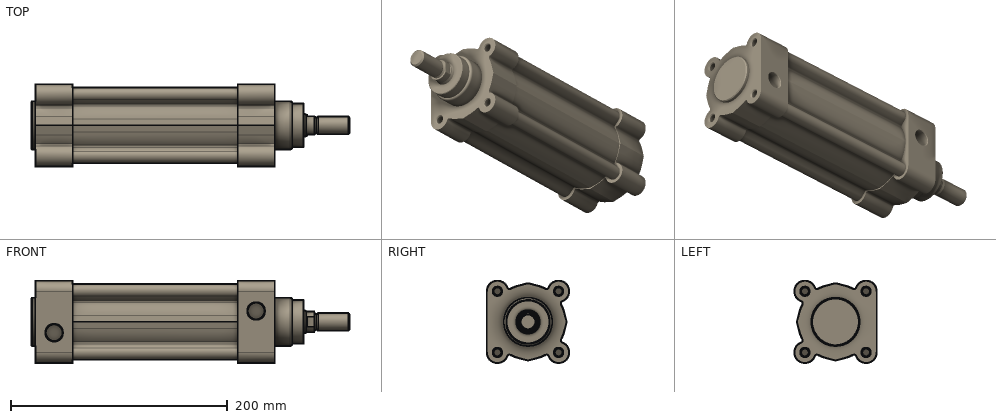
import cadquery as cq
import math


total_length = 294.0
rear_face = 3.8
front_face = 225.0
cover_length = 34.5
neck_end = 241.0
collar_end = 251.7
barrel_start = rear_face + cover_length
barrel_end = front_face - cover_length

cover_side = 76.0
cover_half_side = cover_side / 2
bolt_offset = 28.2
boss_radius = cover_half_side - bolt_offset
cover_round_radius = 34.7
cover_ridge_half_width = 8.5
cover_notch_fillet = 1.8

bolt_hole_radius = 3.5
bolt_hole_depth = 17.5
bolt_hole_chamfer = 1.0

port_radius = 7.5
port_depth = 14.7
port_chamfer = 0.5
port_inset = 17.3
port_height = 10.0

spigot_radius = 22.3
spigot_chamfer = 1.0
neck_radius = 22.3
neck_fillet = 2.4
collar_radius = 20.3
collar_chamfer = 0.5

barrel_round_radius = 34.0
barrel_ridge_half_width = 6.0
rail_offset = 28.5
rail_radius = 6.5
barrel_notch_fillet = 1.8

flare_radius = 11.0
flare_length = 2.4
shank_radius = 9.7
shank_end = 261.5
flat_start = 254.5
flat_offset = 8.5
groove_edge_radius = 8.2
groove_radius = 7.0
groove_bottom = 263.0
thread_start = 265.0
thread_radius = 8.2
tip_chamfer = 1.5

corner_signs = [(y_sign, z_sign) for y_sign in (-1, 1) for z_sign in (-1, 1)]


def section_at(x):
    """Workplane across the axis, with local x along Y and local y along Z."""
    return cq.Workplane("YZ").workplane(offset=x)


def cylinder(radius, start, end):
    return section_at(start).circle(radius).extrude(end - start)


def corner_points(offset):
    return [(y_sign * offset, z_sign * offset) for y_sign, z_sign in corner_signs]


def ridged_round(radius, ridge_half_width, start, end):
    """Round bar with a low ridge on each of four sides, where two tangents of the circle meet."""
    tangent_height = math.sqrt(radius**2 - ridge_half_width**2)
    ridge_height = radius**2 / tangent_height
    ridge = (
        section_at(start)
        .moveTo(0, 0)
        .lineTo(ridge_half_width, tangent_height)
        .lineTo(0, ridge_height)
        .lineTo(-ridge_half_width, tangent_height)
        .close()
        .extrude(end - start)
    )
    body = cylinder(radius, start, end)
    for quarter in range(4):
        body = body.union(ridge.rotate((0, 0, 0), (1, 0, 0), 90 * quarter))
    return body


def notch_points(radius, angle_from_diagonal):
    """Points on the round, on both sides of each diagonal, where the corner shapes leave it."""
    points = []
    for corner in range(4):
        diagonal = math.radians(45 + 90 * corner)
        for angle in (diagonal - angle_from_diagonal, diagonal + angle_from_diagonal):
            points.append((radius * math.cos(angle), radius * math.sin(angle)))
    return points


def fillet_notches(body, points, x, fillet_radius):
    for y, z in points:
        nearest = cq.selectors.NearestToPointSelector((x, y, z))
        body = body.edges("|X").edges(nearest).fillet(fillet_radius)
    return body


def make_cover_block(start):
    """Cover without holes, shared by both ends."""
    end = start + cover_length
    block = ridged_round(cover_round_radius, cover_ridge_half_width, start, end)
    bosses = section_at(start).pushPoints(corner_points(bolt_offset)).circle(boss_radius)
    block = block.union(bosses.extrude(cover_length))
    flat_side = cq.Workplane("XY").box(
        cover_length, boss_radius, 2 * bolt_offset, centered=(False, False, True)
    )
    block = block.union(flat_side.translate((start, -cover_half_side, 0)))

    boss_distance = bolt_offset * math.sqrt(2)
    notch_angle = math.acos(
        (boss_distance**2 + cover_round_radius**2 - boss_radius**2)
        / (2 * boss_distance * cover_round_radius)
    )
    notches = notch_points(cover_round_radius, notch_angle)
    open_notches = [(y, z) for y, z in notches if y > -bolt_offset]
    return fillet_notches(block, open_notches, (start + end) / 2, cover_notch_fillet)


def blind_hole(radius, depth, chamfer):
    """Cutting tool along +X from the origin, widened by the chamfer at its mouth."""
    return (
        cq.Workplane("XY")
        .moveTo(0, 0)
        .lineTo(0, radius + chamfer)
        .lineTo(chamfer, radius)
        .lineTo(depth, radius)
        .lineTo(depth, 0)
        .close()
        .revolve(360, (0, 0, 0), (1, 0, 0))
    )


def cut_bolt_holes(cover, face, turn):
    """Cut the four bolt holes from a face, into +X for no turn or into -X for a half turn."""
    hole = blind_hole(bolt_hole_radius, bolt_hole_depth, bolt_hole_chamfer)
    hole = hole.rotate((0, 0, 0), (0, 0, 1), turn)
    for y, z in corner_points(bolt_offset):
        cover = cover.cut(hole.translate((face, y, z)))
    return cover


def cut_port(cover, x, z):
    port = blind_hole(port_radius, port_depth, port_chamfer).rotate((0, 0, 0), (0, 0, 1), 90)
    return cover.cut(port.translate((x, -cover_half_side, z)))


def make_rear_cover():
    cover = make_cover_block(rear_face)
    spigot = cylinder(spigot_radius, 0, rear_face).faces("<X").chamfer(spigot_chamfer)
    cover = cover.union(spigot)
    cover = cut_bolt_holes(cover, rear_face, 0)
    return cut_port(cover, rear_face + port_inset, -port_height)


def make_front_cover():
    cover = make_cover_block(barrel_end)
    neck = cylinder(neck_radius, front_face, neck_end).faces(">X").edges().fillet(neck_fillet)
    collar = cylinder(collar_radius, neck_end, collar_end).faces(">X").chamfer(collar_chamfer)
    cover = cover.union(neck).union(collar)
    cover = cut_bolt_holes(cover, front_face, 180)
    return cut_port(cover, front_face - port_inset, port_height)


def make_barrel():
    length = barrel_end - barrel_start
    barrel = ridged_round(barrel_round_radius, barrel_ridge_half_width, barrel_start, barrel_end)
    rails = section_at(barrel_start).pushPoints(corner_points(rail_offset)).circle(rail_radius)
    barrel = barrel.union(rails.extrude(length))
    for web_angle in (45, -45):
        web = section_at(barrel_start).rect(2 * rail_offset * math.sqrt(2), 2 * rail_radius)
        web = web.extrude(length).rotate((0, 0, 0), (1, 0, 0), web_angle)
        barrel = barrel.union(web)

    notches = notch_points(barrel_round_radius, math.asin(rail_radius / barrel_round_radius))
    return fillet_notches(barrel, notches, barrel_start + length / 2, barrel_notch_fillet)


def make_piston_rod():
    rod = (
        cq.Workplane("XY")
        .moveTo(collar_end, 0)
        .lineTo(collar_end, flare_radius)
        .lineTo(collar_end + flare_length, shank_radius)
        .lineTo(shank_end, shank_radius)
        .lineTo(shank_end, groove_edge_radius)
        .lineTo(groove_bottom, groove_radius)
        .lineTo(thread_start, thread_radius)
        .lineTo(total_length - tip_chamfer, thread_radius)
        .lineTo(total_length, thread_radius - tip_chamfer)
        .lineTo(total_length, 0)
        .close()
        .revolve(360, (0, 0, 0), (1, 0, 0))
    )
    flat_length = shank_end - flat_start
    for side in (-1, 1):
        cutter = cq.Workplane("XY").box(
            flat_length, shank_radius, 2 * shank_radius, centered=(False, True, True)
        )
        rod = rod.cut(cutter.translate((flat_start, side * (flat_offset + shank_radius / 2), 0)))
    return rod


rear_cover = make_rear_cover()
barrel = make_barrel()
front_cover = make_front_cover()
piston_rod = make_piston_rod()

result = cq.Compound.makeCompound(
    [rear_cover.val(), barrel.val(), front_cover.val(), piston_rod.val()]
)